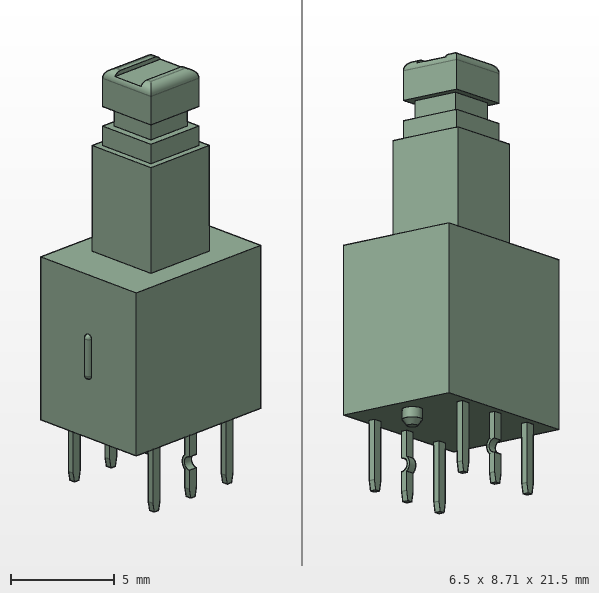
import cadquery as cq

total_height = 21.5
pin_length = 3.5
body_width = 6.5
body_depth = 8.51
body_height = 8.5

shaft_side = 4.0
shaft_height = 5.5
cap_side = 3.3
neck_side = 2.5
step_height = 1.0
cap_round = 0.5
cap_slot_width = 1.76
cap_slot_depth = 0.22

pin_thickness = 0.32
pin_width = 0.5
pin_x = 2.7
pin_pitch = 2.5
pin_tip_height = 0.5
pin_tip_width = 0.3
kink_depth = 1.68
kink_outer_radius = 0.5
kink_inner_radius = 0.35

post_y = 3.0
post_radius = 0.5
post_tip_radius = 0.25
post_straight = 0.52
post_taper = 0.3

rib_radius = 0.22
rib_projection = 0.2
rib_straight = 1.91
rib_center_z = 4.24


def square_block(side, bottom, height):
    """Square block centred on the plunger axis."""
    return cq.Workplane("XY").workplane(offset=bottom).rect(side, side).extrude(height)


def make_plunger():
    collar_bottom = body_height + shaft_height
    neck_bottom = collar_bottom + step_height
    cap_bottom = neck_bottom + step_height
    cap_top = total_height - pin_length

    shaft = square_block(shaft_side, body_height, shaft_height)
    collar = square_block(cap_side, collar_bottom, step_height)
    neck = square_block(neck_side, neck_bottom, step_height)
    cap = square_block(cap_side, cap_bottom, cap_top - cap_bottom)
    cap = cap.faces(">Z").edges().fillet(cap_round)
    slot = (
        cq.Workplane("XY")
        .workplane(offset=cap_top - cap_slot_depth)
        .rect(cap_slot_width, cap_side)
        .extrude(cap_slot_depth)
    )
    return shaft.union(collar).union(neck).union(cap.cut(slot))


def make_pin(side, y):
    """Flat pin with a tapered tip; side is -1 or 1 for the -X or +X row."""
    half_width = pin_width / 2
    half_tip = pin_tip_width / 2
    shoulder_z = pin_tip_height - pin_length
    outline = [
        (y - half_width, 0),
        (y + half_width, 0),
        (y + half_width, shoulder_z),
        (y + half_tip, -pin_length),
        (y - half_tip, -pin_length),
        (y - half_width, shoulder_z),
    ]
    return (
        cq.Workplane("YZ")
        .workplane(offset=side * pin_x - pin_thickness / 2)
        .polyline(outline)
        .close()
        .extrude(pin_thickness)
    )


def make_kinked_pin(side):
    """Middle pin pressed inwards by an arc centred on its outer face."""
    outer_x = side * (pin_x + pin_thickness / 2)

    def kink_cylinder(radius):
        return (
            cq.Workplane("XZ")
            .center(outer_x, -kink_depth)
            .circle(radius)
            .extrude(pin_width / 2, both=True)
        )

    outside = (
        cq.Workplane("XY")
        .box(2 * kink_outer_radius, 2 * pin_width, 2 * kink_outer_radius)
        .translate((outer_x + side * kink_outer_radius, 0, -kink_depth))
    )
    bulge = kink_cylinder(kink_outer_radius).cut(outside)
    return make_pin(side, 0).union(bulge).cut(kink_cylinder(kink_inner_radius))


def make_post():
    post_length = post_straight + post_taper
    return (
        cq.Workplane("XZ")
        .moveTo(0, 0)
        .lineTo(post_radius, 0)
        .lineTo(post_radius, -post_straight)
        .lineTo(post_tip_radius, -post_length)
        .lineTo(0, -post_length)
        .close()
        .revolve(360, (0, 0), (0, 1))
        .translate((0, post_y, 0))
    )


def make_rib():
    """Vertical capsule sunk into the front face, leaving its front part proud."""
    half_straight = rib_straight / 2
    arc_offset = rib_radius * 0.5**0.5
    axis_y = rib_radius - rib_projection - body_depth / 2
    return (
        cq.Workplane("XZ")
        .moveTo(0, -half_straight - rib_radius)
        .threePointArc((arc_offset, -half_straight - arc_offset), (rib_radius, -half_straight))
        .lineTo(rib_radius, half_straight)
        .threePointArc((arc_offset, half_straight + arc_offset), (0, half_straight + rib_radius))
        .close()
        .revolve(360, (0, 0), (0, 1))
        .translate((0, axis_y, rib_center_z))
    )


body = cq.Workplane("XY").rect(body_width, body_depth).extrude(body_height)
result = body.union(make_plunger()).union(make_post()).union(make_rib())
for row_side in (-1, 1):
    for pin_y in (-pin_pitch, pin_pitch):
        result = result.union(make_pin(row_side, pin_y))
    result = result.union(make_kinked_pin(row_side))